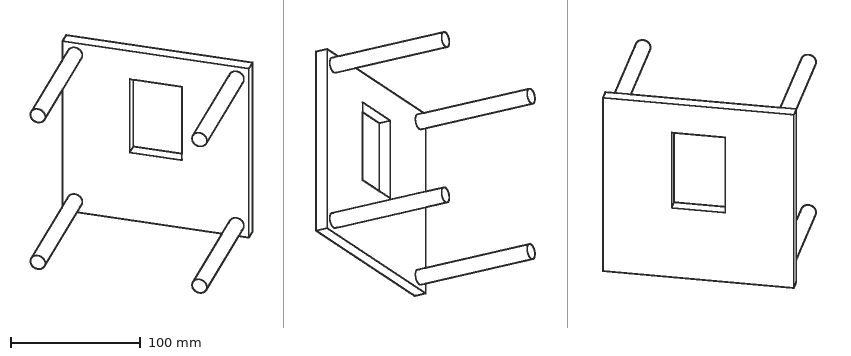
import cadquery as cq

plate_side = 150.0
plate_thickness = 10.0

window_width = 42.0
window_height = 65.0
window_top_margin = 25.0

leg_diameter = 12.0
leg_length = 100.0
leg_inset = 10.0

leg_spacing = plate_side - 2 * leg_inset
window_center_z = plate_side / 2 - window_top_margin - window_height / 2


def make_plate():
    """Square plate with its leg-side face on Y = 0."""
    return cq.Workplane("XZ").rect(plate_side, plate_side).extrude(-plate_thickness)


def make_window():
    """Block that cuts the window through the full plate thickness."""
    return (
        cq.Workplane("XZ")
        .center(0, window_center_z)
        .rect(window_width, window_height)
        .extrude(-plate_thickness)
    )


def make_legs():
    """Four legs pointing along -Y from the plate face."""
    return (
        cq.Workplane("XZ")
        .rect(leg_spacing, leg_spacing, forConstruction=True)
        .vertices()
        .circle(leg_diameter / 2)
        .extrude(leg_length)
    )


result = make_plate().cut(make_window()).union(make_legs())